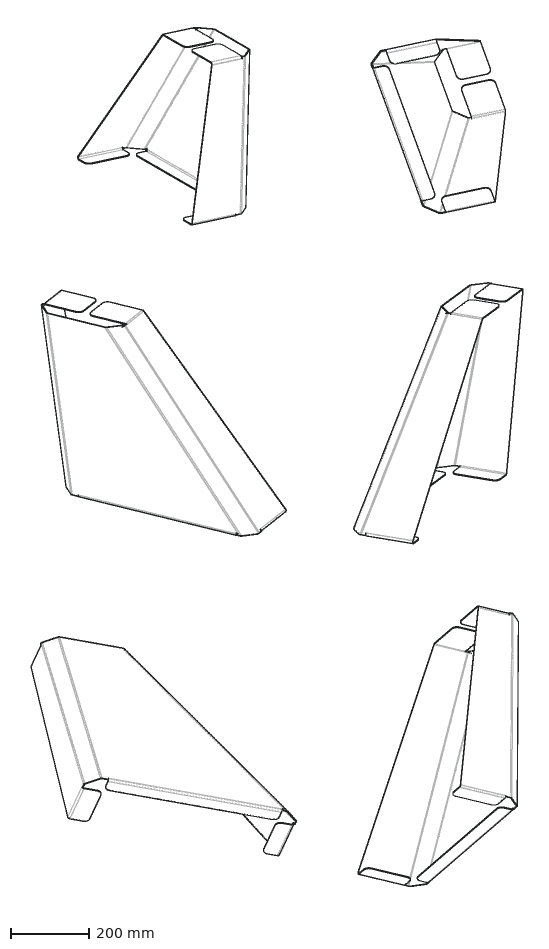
import cadquery as cq
import math

thickness = 3.0
inner_bend_radius = 3.0
outer_bend_radius = inner_bend_radius + thickness

height = 476.0
left_run = 425.0
right_run = 100.0
back_run = 49.0
bottom_width = 569.85
bottom_depth = 183.3
bevel = 36.0
top_width = bottom_width + right_run - left_run

bottom_setback = thickness
top_setback = 1.0

flange_corner_radius = 15.0
top_flange_width = 90.0
top_flange_reach = 112.0
left_bottom_flange_width = 133.0
right_bottom_flange_width = 131.0
bottom_flange_reach = 54.0
back_flange_start = 53.0
back_flange_end = 514.5
back_flange_reach = 42.0

notch_width = 4.0
notch_height = 8.0

X = cq.Vector(1, 0, 0)
Y = cq.Vector(0, 1, 0)
LEFT_RISE = cq.Vector(left_run, 0, height)
RIGHT_RISE = cq.Vector(right_run, 0, height)
BACK_RISE = cq.Vector(0, -back_run, height)


def outline(z, left, width, depth):
    """Corners of the outer section at height z, with its straight side on the open front."""
    right = left + width
    points = [
        (left, 0),
        (left, depth - bevel),
        (left + bevel, depth),
        (right - bevel, depth),
        (right, depth - bevel),
        (right, 0),
    ]
    return [cq.Vector(x, y, z) for x, y in points]


def flat_face(corners):
    return cq.Face.makeFromWires(cq.Wire.makePolygon(corners, close=True))


def make_shell():
    """Five leaning walls with rounded creases, open at the front, the top and the bottom."""
    bottom = outline(0, 0, bottom_width, bottom_depth)
    top = outline(height, left_run, top_width, bottom_depth - back_run)
    faces = [flat_face(bottom), flat_face(top)]
    for i in range(len(bottom)):
        faces.append(flat_face([bottom[i - 1], bottom[i], top[i], top[i - 1]]))
    block = cq.Workplane(cq.Solid.makeSolid(cq.Shell.makeShell(faces)))
    block = block.edges("not #Z").edges("not <Y").fillet(outer_bend_radius)
    return block.faces("<Y or <Z or >Z").shell(-thickness)


def trim_ends(shell):
    """Set the walls back from both ends."""
    span = bottom_width + right_run
    band_height = height - bottom_setback - top_setback
    band = cq.Workplane("XY").box(span, bottom_depth, band_height, centered=False)
    return shell.intersect(band.translate((0, 0, bottom_setback)))


def square_left_wall(shell):
    """Cut both ends of the strongly leaning left wall at right angles to its faces."""
    lean = left_run / height
    level_thickness = thickness * math.hypot(1, lean)
    bottom_x = bottom_setback * lean
    bottom_wedge = [
        (bottom_x, bottom_setback),
        (bottom_x + level_thickness, bottom_setback),
        (bottom_x, bottom_setback + level_thickness * lean),
    ]
    top_z = height - top_setback
    top_x = top_z * lean
    top_wedge = [
        (top_x, top_z),
        (top_x + level_thickness, top_z),
        (top_x + level_thickness, top_z - level_thickness * lean),
    ]
    for wedge in (bottom_wedge, top_wedge):
        shell = shell.cut(cq.Workplane("XZ").polyline(wedge).close().extrude(-bottom_depth))
    return shell


def cut_notch(shell):
    """Bend relief through the back wall, just left of the back flange."""
    notch = cq.Workplane("XY").box(notch_width, bottom_depth / 2, notch_height, centered=False)
    return shell.cut(notch.translate((back_flange_start - notch_width, bottom_depth / 2, 0)))


def add_flange(body, corner, along_wall, direction, width, reach):
    """Turn the end of a wall into a bend and a flat flange with rounded corners.

    The corner is the middle of the sharp outer edge of the bend. In the section plane, local x
    runs up the wall from the corner and local y points into the shell.
    """
    plane = cq.Plane(origin=corner, xDir=along_wall, normal=along_wall.cross(direction))
    angle = along_wall.getAngle(direction)
    tangent = outer_bend_radius / math.tan(angle / 2)
    centre_distance = outer_bend_radius / math.sin(angle / 2)

    def on_bisector(distance):
        return distance * math.cos(angle / 2), distance * math.sin(angle / 2)

    def on_flange(distance, depth=0):
        x = distance * math.cos(angle) + depth * math.sin(angle)
        y = distance * math.sin(angle) - depth * math.cos(angle)
        return x, y

    wall_end = (
        cq.Workplane(plane)
        .rect(2 * tangent, 4 * thickness)
        .extrude(width / 2, both=True)
    )
    flange = (
        cq.Workplane(plane)
        .moveTo(tangent, 0)
        .threePointArc(on_bisector(centre_distance - outer_bend_radius), on_flange(tangent))
        .lineTo(*on_flange(reach))
        .lineTo(*on_flange(reach, thickness))
        .lineTo(*on_flange(tangent, thickness))
        .threePointArc(on_bisector(centre_distance - inner_bend_radius), (tangent, thickness))
        .close()
        .extrude(width / 2, both=True)
        .edges("|Z")
        .fillet(flange_corner_radius)
    )
    return body.cut(wall_end).union(flange)


def add_side_flanges(body):
    """Flanges of the left and right walls, all pointing into the shell."""
    sides = [
        (LEFT_RISE, 0, X, left_bottom_flange_width),
        (RIGHT_RISE, bottom_width, -X, right_bottom_flange_width),
    ]
    for rise, bottom_x, inward, bottom_flange_width in sides:
        bottom = cq.Vector(bottom_x, bottom_flange_width / 2, 0)
        top = cq.Vector(bottom_x, top_flange_width / 2, 0) + rise
        body = add_flange(body, bottom, rise, inward, bottom_flange_width, bottom_flange_reach)
        body = add_flange(body, top, -rise, inward, top_flange_width, top_flange_reach)
    return body


def add_back_flange(body):
    width = back_flange_end - back_flange_start
    corner = cq.Vector(back_flange_start + width / 2, bottom_depth, 0)
    return add_flange(body, corner, BACK_RISE, -Y, width, back_flange_reach)


result = make_shell()
result = trim_ends(result)
result = square_left_wall(result)
result = cut_notch(result)
result = add_side_flanges(result)
result = add_back_flange(result)